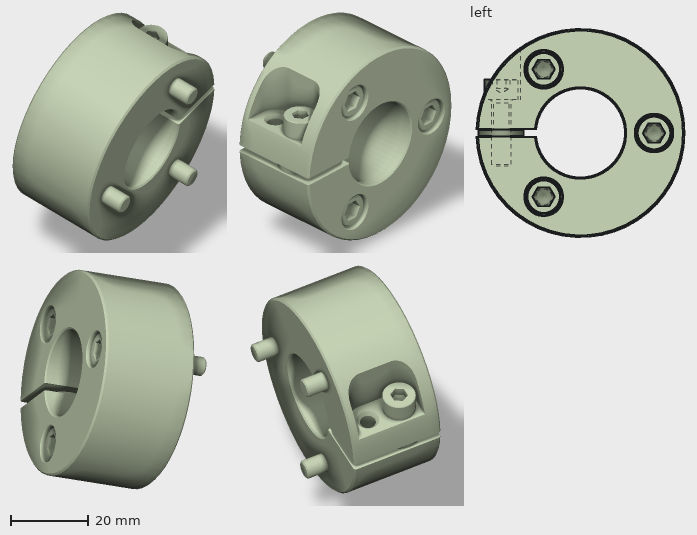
import cadquery as cq
import math

collar_diameter = 53.8
collar_length = 25.05
collar_chamfer = 0.5
bore_diameter = 22.9
bore_chamfer = 0.4
slot_width = 2.0

mount_count = 3
mount_circle_radius = 19.0
mount_first_angle = 180.0
mount_recess = 1.0
mount_tip_x = 31.0
seat_diameter = 9.5
seat_rim_chamfer = 0.25
mount_socket_width = 5.0

head_diameter = 8.65
head_height = 5.2
head_edge_chamfer = 0.15
shank_diameter = 4.95
shank_tip_chamfer = 0.4
socket_depth = 2.25
socket_point_angle = 120.0

clamp_x = 9.0
clamp_y = 20.5
clamp_socket_width = 4.0
clamp_shank_length = 17.2
pocket_floor_z = 8.7
pocket_corner_radius = 5.0
jack_x = 17.95
jack_diameter = 4.1
jack_countersink_diameter = 5.85

washer_diameter = 11.75
washer_thickness = 1.65

collar_radius = collar_diameter / 2
mount_head_base_x = mount_recess + head_height
mount_shank_length = mount_tip_x - mount_head_base_x
mount_angles = [math.radians(mount_first_angle + i * 360 / mount_count) for i in range(mount_count)]
mount_centers = [
    (mount_circle_radius * math.cos(angle), mount_circle_radius * math.sin(angle))
    for angle in mount_angles
]


def make_blank():
    """Chamfered ring with its axis along X."""
    ring = cq.Workplane("YZ").circle(collar_radius).extrude(collar_length)
    ring = ring.faces("<X or >X").chamfer(collar_chamfer)
    bore = cq.Workplane("YZ").circle(bore_diameter / 2).extrude(collar_length)
    ring = ring.cut(bore)
    return ring.edges(cq.selectors.RadiusNthSelector(0)).chamfer(bore_chamfer)


def make_slot():
    """Radial slot that splits the +Y side of the collar."""
    return cq.Workplane("XY").box(
        collar_length, collar_radius, slot_width, centered=(False, False, True)
    )


def make_mount_hole(y, z):
    """Through hole with a chamfered counterbore for one mounting screw."""
    center = cq.Workplane("YZ").center(y, z)
    shank_hole = center.circle(shank_diameter / 2).extrude(collar_length)
    seat = center.circle(seat_diameter / 2).extrude(mount_head_base_x)
    rim = cq.Solid.makeCone(
        seat_diameter / 2 + seat_rim_chamfer,
        seat_diameter / 2,
        seat_rim_chamfer,
        cq.Vector(0, y, z),
        cq.Vector(1, 0, 0),
    )
    return shank_hole.union(seat).union(cq.Workplane(rim))


def make_clamp_pocket():
    """Pocket with a flat floor, rounded on the inner side and open towards +Y."""
    left = clamp_x - pocket_corner_radius
    right = jack_x + pocket_corner_radius
    inner = clamp_y - pocket_corner_radius
    arc_offset = pocket_corner_radius * math.sqrt(0.5)
    return (
        cq.Workplane("XY", origin=(0, 0, pocket_floor_z))
        .moveTo(left, collar_radius)
        .lineTo(left, clamp_y)
        .threePointArc((clamp_x - arc_offset, clamp_y - arc_offset), (clamp_x, inner))
        .lineTo(jack_x, inner)
        .threePointArc((jack_x + arc_offset, clamp_y - arc_offset), (right, clamp_y))
        .lineTo(right, collar_radius)
        .close()
        .extrude(collar_radius)
    )


def make_clamp_hole():
    """Blind hole that fits the clamp screw shank."""
    shank_end_z = pocket_floor_z - clamp_shank_length
    return (
        cq.Workplane("XY", origin=(clamp_x, clamp_y, shank_end_z))
        .circle(shank_diameter / 2)
        .extrude(clamp_shank_length)
        .faces("<Z")
        .chamfer(shank_tip_chamfer)
    )


def make_jack_hole():
    """Countersunk hole from the pocket floor down to the slot."""
    countersink_depth = (jack_countersink_diameter - jack_diameter) / 2
    hole = (
        cq.Workplane("XY", origin=(jack_x, clamp_y, 0))
        .circle(jack_diameter / 2)
        .extrude(pocket_floor_z)
    )
    countersink = cq.Solid.makeCone(
        jack_diameter / 2,
        jack_countersink_diameter / 2,
        countersink_depth,
        cq.Vector(jack_x, clamp_y, pocket_floor_z - countersink_depth),
        cq.Vector(0, 0, 1),
    )
    return hole.union(cq.Workplane(countersink))


def make_collar():
    collar = make_blank().cut(make_slot()).cut(make_clamp_pocket())
    for y, z in mount_centers:
        collar = collar.cut(make_mount_hole(y, z))
    return collar.cut(make_clamp_hole()).cut(make_jack_hole())


def make_socket(width):
    """Hexagonal socket sunk from Z = 0, corners along Y, with a conical bottom."""
    corner_radius = width / math.sqrt(3)
    cone_height = corner_radius / math.tan(math.radians(socket_point_angle / 2))
    hexagon = (
        cq.Workplane("XY")
        .polygon(6, 2 * corner_radius)
        .extrude(-socket_depth - cone_height)
        .rotate((0, 0, 0), (0, 0, 1), 90)
    )
    drill_shape = (
        cq.Workplane("XZ")
        .lineTo(corner_radius, 0)
        .lineTo(corner_radius, -socket_depth)
        .lineTo(0, -socket_depth - cone_height)
        .close()
        .revolve(360, (0, 0), (0, 1))
    )
    return hexagon.intersect(drill_shape)


def make_socket_screw(shank_length, socket_width):
    """Socket head screw along Z, with the underside of its head at Z = 0."""
    head = (
        cq.Workplane("XY")
        .circle(head_diameter / 2)
        .extrude(head_height)
        .faces(">Z")
        .chamfer(head_edge_chamfer)
    )
    shank = (
        cq.Workplane("XY")
        .circle(shank_diameter / 2)
        .extrude(-shank_length)
        .faces("<Z")
        .chamfer(shank_tip_chamfer)
    )
    socket = make_socket(socket_width).translate((0, 0, head_height))
    return head.union(shank).cut(socket)


def make_mount_screw(y, z):
    """Mounting screw with its head towards -X and its tip beyond the collar."""
    screw = make_socket_screw(mount_shank_length, mount_socket_width)
    return screw.rotate((0, 0, 0), (0, 1, 0), -90).translate((mount_head_base_x, y, z))


def make_clamp_screw():
    screw = make_socket_screw(clamp_shank_length, clamp_socket_width)
    return screw.translate((clamp_x, clamp_y, pocket_floor_z))


def make_washer():
    return (
        cq.Workplane("XY", origin=(clamp_x, clamp_y, -washer_thickness / 2))
        .circle(washer_diameter / 2)
        .circle(shank_diameter / 2)
        .extrude(washer_thickness)
    )


collar = make_collar()
mount_screws = [make_mount_screw(y, z) for y, z in mount_centers]
clamp_screw = make_clamp_screw()
washer = make_washer()

result = cq.Compound.makeCompound(
    [collar.val(), *[screw.val() for screw in mount_screws], clamp_screw.val(), washer.val()]
)